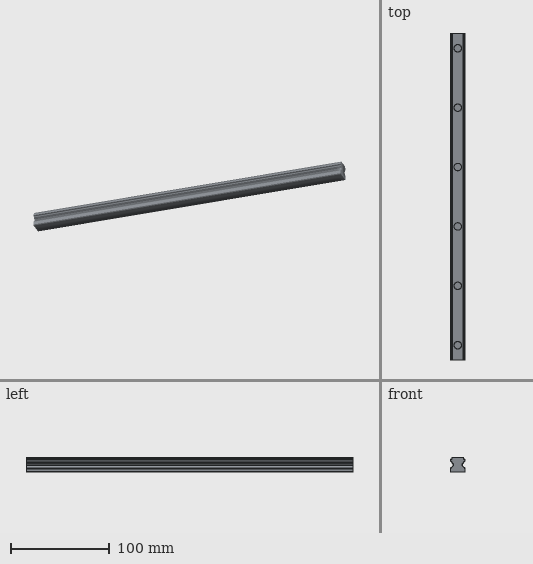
import cadquery as cq

length = 330.0
width = 15.0
height = 15.0

head_flat_half_width = 5.4
upper_groove_start = (6.0, 14.4)
upper_groove_middle = (6.1, 13.5)
upper_groove_end = (7.0, 13.1)
head_side_top = 12.7
head_side_bottom = 11.5
lower_groove_start = (7.1, 11.1)
lower_groove_middle = (6.2, 10.6)
lower_groove_end = (6.0, 9.7)
head_underside_corner = (5.3, 9.0)

waist_half_width = 4.6
waist_top = 8.1
waist_bottom = 6.6
foot_shoulder_half_width = 7.1
foot_shoulder_height = 4.1
foot_side_top = 3.2
foot_chamfer = 0.8

recess_diameter = 7.5
recess_depth = 0.3
recess_pitch = 60.0
recess_count = 6


def make_half_rail():
    """Extrude the +X half of the rail section along Y, centred on the origin."""
    half_width = width / 2
    section = (
        cq.Workplane("XZ")
        .lineTo(half_width - foot_chamfer, 0)
        .lineTo(half_width, foot_chamfer)
        .lineTo(half_width, foot_side_top)
        .lineTo(foot_shoulder_half_width, foot_shoulder_height)
        .lineTo(waist_half_width, waist_bottom)
        .lineTo(waist_half_width, waist_top)
        .lineTo(*head_underside_corner)
        .lineTo(*lower_groove_end)
        .threePointArc(lower_groove_middle, lower_groove_start)
        .lineTo(half_width, head_side_bottom)
        .lineTo(half_width, head_side_top)
        .lineTo(*upper_groove_end)
        .threePointArc(upper_groove_middle, upper_groove_start)
        .lineTo(head_flat_half_width, height)
        .lineTo(0, height)
        .close()
    )
    return section.extrude(length / 2, both=True)


def make_rail():
    """Join the half rail to its mirror image across the YZ plane."""
    half_rail = make_half_rail()
    return half_rail.union(half_rail.mirror("YZ")).clean()


def make_recesses():
    """Cutters for the recesses, evenly spaced about the middle of the rail."""
    return (
        cq.Workplane("XY", origin=(0, 0, height - recess_depth))
        .rarray(1, recess_pitch, 1, recess_count)
        .circle(recess_diameter / 2)
        .extrude(recess_depth)
    )


result = make_rail().cut(make_recesses())